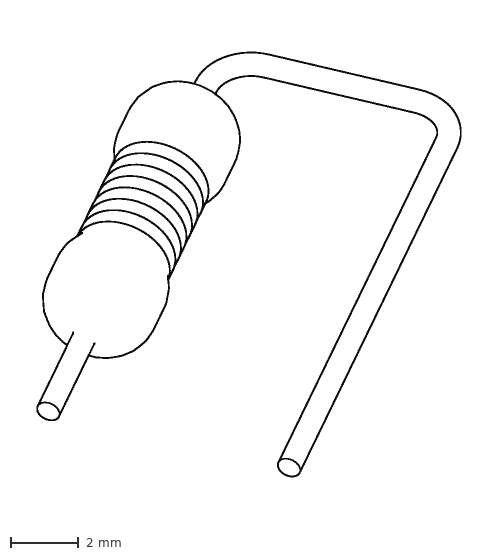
import cadquery as cq
import math

lead_diameter = 0.7
lead_radius = lead_diameter / 2
lead_pitch = 7.5
lead_length = 16.35
bend_radius = 2 * lead_diameter

body_center_y = 8.62
cap_radius = 3.5 / 2
waist_radius = 2.98 / 2
band_radius = 3.0 / 2
dome_radius = 1.26
cap_straight = 0.95
neck_length = 1.01
collar_radius = 0.35

slice_count = 7
waist_length = 3.58
slice_length = waist_length / slice_count
waist_half = waist_length / 2


def arc_midpoint(center, radius, start_angle, end_angle):
    """Point halfway along an arc, with angles in radians."""
    angle = (start_angle + end_angle) / 2
    return (center[0] + radius * math.cos(angle), center[1] + radius * math.sin(angle))


def make_end_cap():
    """Revolved end cap on the +Y side, from the waist to the lead."""
    neck_start = body_center_y + waist_half
    neck_end = neck_start + neck_length
    dome_start = neck_end + cap_straight

    half_neck = neck_length / 2
    half_step = (cap_radius - waist_radius) / 2
    neck_radius = (half_neck**2 + half_step**2) / (2 * half_step)
    neck_angle = math.asin(half_neck / neck_radius)
    neck_middle = (waist_radius + half_step, neck_start + half_neck)
    concave_center = (waist_radius + neck_radius, neck_start)
    convex_center = (cap_radius - neck_radius, neck_end)
    concave_mid = arc_midpoint(concave_center, neck_radius, math.pi, math.pi - neck_angle)
    convex_mid = arc_midpoint(convex_center, neck_radius, -neck_angle, 0)

    dome_center = (cap_radius - dome_radius, dome_start)
    center_distance = dome_radius + collar_radius
    collar_offset = lead_radius + collar_radius - dome_center[0]
    contact_angle = math.acos(collar_offset / center_distance)
    collar_center = (
        dome_center[0] + collar_offset,
        dome_start + center_distance * math.sin(contact_angle),
    )
    dome_end = (
        dome_center[0] + dome_radius * math.cos(contact_angle),
        dome_start + dome_radius * math.sin(contact_angle),
    )
    dome_mid = arc_midpoint(dome_center, dome_radius, 0, contact_angle)
    collar_mid = arc_midpoint(collar_center, collar_radius, math.pi + contact_angle, math.pi)

    return (
        cq.Workplane("XY")
        .moveTo(0, neck_start)
        .lineTo(waist_radius, neck_start)
        .threePointArc(concave_mid, neck_middle)
        .threePointArc(convex_mid, (cap_radius, neck_end))
        .lineTo(cap_radius, dome_start)
        .threePointArc(dome_mid, dome_end)
        .threePointArc(collar_mid, (lead_radius, collar_center[1]))
        .lineTo(0, collar_center[1])
        .close()
        .revolve(360, (0, 0, 0), (0, 1, 0))
    )


def make_slice(index):
    """One slice of the waist, counted from the -Y end."""
    radius = band_radius if index % 2 == 0 else waist_radius
    start_y = body_center_y - waist_half + index * slice_length
    return cq.Workplane("XZ", origin=(0, start_y, 0)).circle(radius).extrude(-slice_length)


def make_lead():
    """Continuous wire through the body, over the fold and back down."""
    fold_y = lead_length - lead_radius
    bend_y = fold_y - bend_radius
    corner = bend_radius * (1 - math.sqrt(0.5))
    path = (
        cq.Workplane("XY")
        .lineTo(0, bend_y)
        .threePointArc((corner, fold_y - corner), (bend_radius, fold_y))
        .lineTo(lead_pitch - bend_radius, fold_y)
        .threePointArc((lead_pitch - corner, fold_y - corner), (lead_pitch, bend_y))
        .lineTo(lead_pitch, 0)
    )
    return cq.Workplane("XZ").circle(lead_radius).sweep(path)


end_cap = make_end_cap()
opposite_cap = end_cap.mirror("XZ", (0, body_center_y, 0))

result = make_lead().union(end_cap).union(opposite_cap)
for slice_index in range(slice_count):
    result = result.union(make_slice(slice_index))